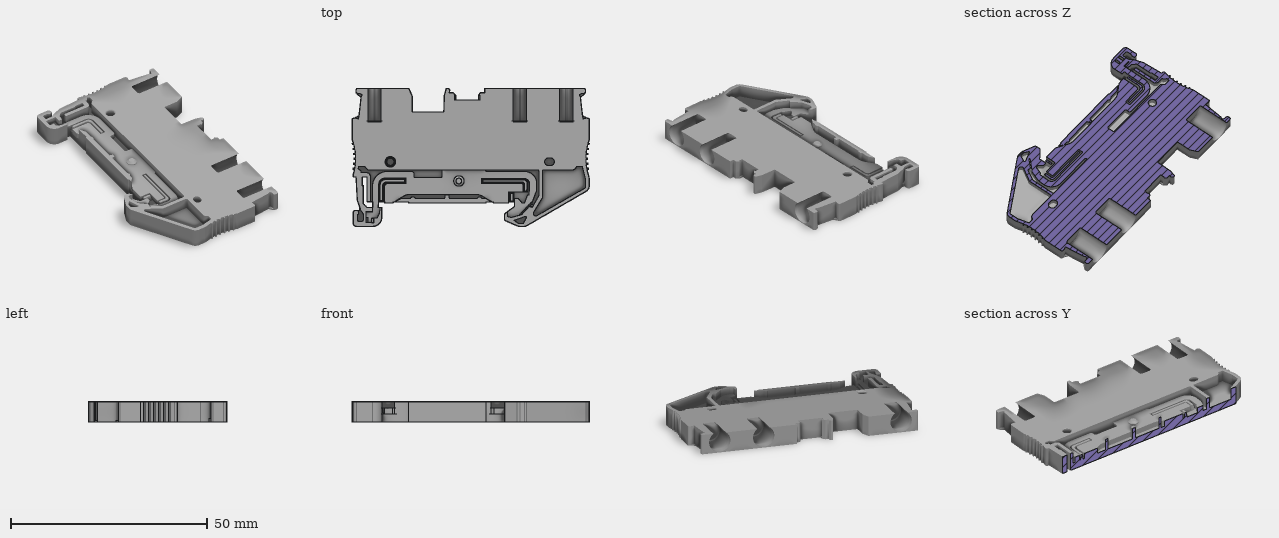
import cadquery as cq
import math

LENGTH = 60.4
HEIGHT = 35.2
THICKNESS = 5.2

FLOOR_Z = 2.05
PLATE_Z = 3.55
SLOT_WEB_Z = 0.95
CORNER_WEB_Z = 0.35

POCKET_TOP_Y = 14.45
UNDERSIDE_Y = 6.2
WALL_UNDERSIDE_Y = 6.0


def outline(points):
    """Closed sketch through (x, y) corners; a third value rounds that corner with an arc."""
    corners = [(p[0], p[1], p[2] if len(p) > 2 else 0) for p in points]
    count = len(corners)
    stretches = []
    for i, (x, y, radius) in enumerate(corners):
        if radius == 0:
            stretches.append([(x, y)])
            continue
        before = corners[i - 1]
        after = corners[(i + 1) % count]
        in_angle = math.atan2(before[1] - y, before[0] - x)
        out_angle = math.atan2(after[1] - y, after[0] - x)
        half = abs(math.remainder(out_angle - in_angle, 2 * math.pi)) / 2
        middle_angle = in_angle + math.remainder(out_angle - in_angle, 2 * math.pi) / 2
        tangent = radius / math.tan(half)
        middle = radius / math.sin(half) - radius
        stretches.append([
            (x + tangent * math.cos(in_angle), y + tangent * math.sin(in_angle)),
            (x + middle * math.cos(middle_angle), y + middle * math.sin(middle_angle)),
            (x + tangent * math.cos(out_angle), y + tangent * math.sin(out_angle)),
        ])
    sketch = cq.Workplane("XY").moveTo(*stretches[0][-1])
    for stretch in stretches[1:] + stretches[:1]:
        sketch = sketch.lineTo(*stretch[0])
        if len(stretch) > 1:
            sketch = sketch.threePointArc(stretch[1], stretch[2])
    return sketch.close()


def prism(points, bottom, top):
    """Straight prism over an outline, from level bottom to level top."""
    return outline(points).extrude(top - bottom).translate((0, 0, bottom))


def mirrored(points):
    """The same points on the opposite end of the block, in reverse order."""
    return [(LENGTH - p[0], *p[1:]) for p in reversed(points)]


SHOULDER_Y = 27.5
GRIP_TOP_Y = 22.05
GRIP_BOTTOM_Y = 13.3
GRIP_FOOT_INSET = 0.25

END_NOTCH = [
    (0.95, HEIGHT, 0.5), (0.95, 33.9, 0.4), (1.95, 33.9), (2.5, 33.65), (2.5, 33.35), (2.25, 32.9),
    (1.7, 28.0), (1.65, 27.4), (0.65, 27.65), (0, SHOULDER_Y, 0.35),
]
LABEL_BAY = [(14.45, HEIGHT), (15.35, 33.15), (15.35, 29.2), (23.3, 29.2), (23.45, 33.4)]
MARKER_FLOOR_Y = 32.25
MARKER_WEB_TOP_Y = 33.35
MARKER_BAY = [
    (24.0, HEIGHT), (24.6, HEIGHT), (24.9, 34.7), (24.75, 34.1), (25.75, 34.1), (26.4, MARKER_WEB_TOP_Y),
    (26.05, MARKER_WEB_TOP_Y), (26.05, MARKER_FLOOR_Y), (32.5, MARKER_FLOOR_Y), (32.5, MARKER_WEB_TOP_Y),
    (32.15, MARKER_WEB_TOP_Y), (32.7, 34.1), (33.7, 34.1), (33.7, HEIGHT),
]
SNAP_FOOT = [
    (0.25, 12.55, 0.3), (0.95, 12.55), (1.25, 6.75), (2.1, 4.3), (2.85, 3.15), (2.85, 1.3, 0.35),
    (1.3, 1.3, 0.35), (1.3, 2.9), (1.65, 3.3), (1.5, 4.1), (0.25, 4.1, 0.6), (0.25, 0, 0.9),
    (7.25, 0, 2.35), (7.55, 2.1), (7.55, 4.9), (6.65, 4.9), (6.75, UNDERSIDE_Y),
]
MIDDLE_UNDERSIDE = [
    (14.4, UNDERSIDE_Y), (14.4, WALL_UNDERSIDE_Y), (34.1, WALL_UNDERSIDE_Y), (34.1, UNDERSIDE_Y),
]
HOOK_FOOT = [
    (41.3, UNDERSIDE_Y), (41.3, 5.1), (39.5, 3.8), (38.8, 3.15), (38.8, 1.6, 0.5),
    (42.4, 0, 1.95), (44.15, 0, 1.2), (LENGTH, 9.4, 1.8), (LENGTH, 12.25),
]


def housing():
    left_side = END_NOTCH + [(0, GRIP_TOP_Y), (GRIP_FOOT_INSET, GRIP_BOTTOM_Y)]
    right_side = mirrored(left_side)
    underside = SNAP_FOOT + MIDDLE_UNDERSIDE + HOOK_FOOT
    top_side = MARKER_BAY[::-1] + LABEL_BAY[::-1]
    return prism(left_side + underside + right_side + top_side, 0, THICKNESS)


GRIP_DEPTH = 0.85
TOOTH_COUNT = 6
TOOTH_PITCH = 1.25
TOOTH_WIDTH = 0.35
TOOTH_HEIGHT = 0.4
FIRST_TOOTH_Y = 14.7
GRIP_MIDDLE_Y = 17.2
GRIP_CLEARANCE = 1.45


def grip_space(depth):
    """Space in front of a curved surface that lies this deep at the middle of the left grip."""
    top_x = depth - GRIP_DEPTH
    return (
        cq.Workplane("XY").moveTo(top_x, GRIP_TOP_Y)
        .threePointArc((depth, GRIP_MIDDLE_Y), (top_x + GRIP_FOOT_INSET, GRIP_BOTTOM_Y))
        .lineTo(-GRIP_CLEARANCE, GRIP_BOTTOM_Y).lineTo(-GRIP_CLEARANCE, GRIP_TOP_Y)
        .close().extrude(THICKNESS)
    )


def grip_cutter():
    """Hollow of the left grip, leaving the teeth."""
    hollow = grip_space(GRIP_DEPTH)
    space_outside_teeth = grip_space(GRIP_DEPTH - TOOTH_HEIGHT)
    for i in range(TOOTH_COUNT):
        tooth = cq.Workplane("XY").box(
            2 * GRIP_CLEARANCE, TOOTH_WIDTH, THICKNESS, centered=(True, True, False)
        ).translate((0, FIRST_TOOTH_Y + i * TOOTH_PITCH, 0))
        hollow = hollow.cut(tooth.cut(space_outside_teeth))
    return hollow


SLOT_WEB = [
    (1.3, 4.1), (1.9, 4.1), (1.9, 4.6), (2.2, 4.6), (2.95, 3.15), (2.95, 1.2), (1.2, 1.2), (1.2, 2.9),
]
UPPER_CORNER_WEB = [(1.25, 33.7), (1.25, 34.0), (2.6, 34.0), (2.6, 32.9), (2.25, 32.9)]
LOWER_CORNER_WEB = [(0.55, 27.55), (1.7, 28.25), (1.8, 28.0), (1.8, 27.3)]
MARKER_WEB_X = (26.05, 32.15)
MARKER_WEB_WIDTH = 0.35


def webs():
    body = prism(SLOT_WEB, 0, SLOT_WEB_Z)
    for web in (UPPER_CORNER_WEB, LOWER_CORNER_WEB):
        body = body.union(prism(web, 0, CORNER_WEB_Z))
        body = body.union(prism(mirrored(web), 0, CORNER_WEB_Z))
    for x in MARKER_WEB_X:
        strip = cq.Workplane("XY").box(
            MARKER_WEB_WIDTH, MARKER_WEB_TOP_Y - MARKER_FLOOR_Y, CORNER_WEB_Z, centered=False)
        body = body.union(strip.translate((x, MARKER_FLOOR_Y, 0)))
    return body


RIM_CURVE = [(7.2, 4.9), (6.9, 3.25), (6.35, 2.2)]
HOOK_SEAT = [(45.85, 4.85), (45.1, 5.15), (43.1, 3.0), (40.45, 2.3), (39.55, 2.55), (39.5, 3.8)]
MAIN_POCKET = [
    (4.65, 4.85), (4.65, 13.7, 0.95), (2.3, 13.7), (2.25, 14.2), (1.5, 14.75), (1.7, 15.35),
    (3.15, 15.35), (4.0, POCKET_TOP_Y), (47.55, POCKET_TOP_Y, 0.35), (47.55, 7.85),
] + HOOK_SEAT + [
    (36.25, 4.2), (7.85, 4.2), (7.85, 4.9),
] + RIM_CURVE + [
    (5.45, 2.1), (5.45, 0.95), (3.5, 0.95), (3.5, 3.8), (5.15, 3.8), (5.15, 4.85),
]
SIDE_POCKET = [
    (48.45, POCKET_TOP_Y, 0.3), (56.7, POCKET_TOP_Y, 0.95), (57.2, 15.35), (58.6, 15.35), (59.4, 12.25),
    (59.4, 9.85, 0.25), (45.05, 1.65, 0.6), (48.45, 7.3),
]
HOOK_POCKET = [(41.25, 1.6), (44.65, 2.8, 0.25), (43.55, 0.7), (42.4, 0.7)]
SPRING_SLOT = [
    (2.6, 12.55), (3.75, 12.55), (3.75, 6.3, 0.25), (5.2, 6.3), (5.2, 4.9), (3.75, 4.9),
    (2.85, 5.85), (2.85, 10.4), (2.6, 10.4),
]
SNAP_FOOT_OPENING = [(5.0, 0.95), (5.45, 0.95), (5.45, 2.05), (5.0, 2.05)]
HOOK_OPENING = [(45.5, 5.3), (45.8, 5.75), (46.1, 5.3), (45.85, 4.85)]
RAIL_WALL = [
    (10.8, UNDERSIDE_Y), (12.5, 7.2), (14.8, 7.2), (15.15, 7.5), (15.75, 7.5), (16.1, 7.2),
    (23.55, 7.2), (23.75, 8.1), (24.6, 8.1), (24.75, 7.2), (31.85, 7.2), (32.2, 7.5),
    (32.7, 7.5), (33.05, 7.2), (34.05, 7.2), (35.35, UNDERSIDE_Y),
    (34.1, UNDERSIDE_Y), (34.1, WALL_UNDERSIDE_Y), (14.4, WALL_UNDERSIDE_Y), (14.4, UNDERSIDE_Y),
]


def pockets():
    cutter = prism(MAIN_POCKET, FLOOR_Z, THICKNESS).cut(prism(RAIL_WALL, FLOOR_Z, THICKNESS))
    for pocket in (SIDE_POCKET, HOOK_POCKET):
        cutter = cutter.union(prism(pocket, FLOOR_Z, THICKNESS))
    return cutter.union(prism(SPRING_SLOT, 0, THICKNESS))


PLATE_TOP_Y = 14.0
PLATE = [
    (5.2, 3.7), (5.2, PLATE_TOP_Y, 3.6), (15.35, PLATE_TOP_Y), (15.7, 13.65), (15.7, 12.45, 0.35),
    (22.9, 12.45, 0.35), (22.9, POCKET_TOP_Y), (33.8, POCKET_TOP_Y), (34.1, PLATE_TOP_Y),
    (47.1, PLATE_TOP_Y, 3.0), (46.95, 9.05), (45.65, 5.7),
] + HOOK_SEAT[1:] + [
    (41.3, 5.1), (41.3, 7.1), (42.35, 7.1), (43.25, 6.05), (43.9, 6.05), (44.95, 8.8),
    (39.85, 8.8), (39.85, WALL_UNDERSIDE_Y), (36.1, WALL_UNDERSIDE_Y), (32.3, 8.2, 3.6),
    (13.9, 8.2, 3.6), (10.25, WALL_UNDERSIDE_Y), (8.2, WALL_UNDERSIDE_Y),
    (8.2, UNDERSIDE_Y), (6.75, UNDERSIDE_Y), (6.65, 4.9),
] + RIM_CURVE + [
    (5.0, 2.1), (5.0, 0.95), (4.05, 0.95), (4.05, 2.3), (3.5, 2.3), (3.5, 3.7),
]
LEFT_GROOVE = [
    (6.75, 5.45), (6.75, 12.3, 1.6), (13.7, 12.3), (13.7, 11.0), (8.3, 11.0, 0.85), (8.3, 5.45),
]
LEFT_RIB = [
    (6.9, 6.35), (6.9, 12.2, 1.45), (13.6, 12.2), (13.6, 11.1), (8.0, 11.1, 0.9), (8.0, 6.35),
]
RIGHT_GROOVE = [
    (32.9, 12.2), (45.25, 12.2, 1.3), (45.05, 8.1), (43.5, 8.1), (43.5, 10.95, 0.3), (32.9, 10.95),
]
RIGHT_RIB = [
    (33.05, 12.1), (44.9, 12.1, 0.95), (44.7, 8.75), (43.6, 8.75), (43.6, 11.05, 0.3), (33.05, 11.05),
]
END_RIB = [(40.1, 6.3), (41.2, 6.3), (41.2, 8.65), (40.1, 8.65)]
HOOK_BEVEL = 0.35
HOOK_BEVEL_BOX = ((43.8, 3.75, PLATE_Z - 0.05), (44.45, 4.4, PLATE_Z + 0.05))
RIB_DRAFT = 10.0


def foot_plate():
    plate = prism(PLATE, FLOOR_Z, PLATE_Z)
    for groove in (LEFT_GROOVE, RIGHT_GROOVE):
        plate = plate.cut(prism(groove, FLOOR_Z, PLATE_Z))
    for rib in (LEFT_RIB, RIGHT_RIB, END_RIB):
        drafted = outline(rib).extrude(PLATE_Z - FLOOR_Z, taper=RIB_DRAFT)
        plate = plate.union(drafted.translate((0, 0, FLOOR_Z)))
    return plate.edges(cq.selectors.BoxSelector(*HOOK_BEVEL_BOX)).chamfer(HOOK_BEVEL)


PIN_CENTER = (27.2, 11.6)
PIN_BASE_RADIUS = 1.3
PIN_TOP_RADIUS = 0.7
PIN_BASE_HEIGHT = 0.2
PIN_CONE_HEIGHT = 0.5


def locating_pin():
    foot = cq.Workplane("XY").circle(PIN_BASE_RADIUS).extrude(PIN_BASE_HEIGHT)
    cone = (
        cq.Workplane("XY").workplane(offset=PIN_BASE_HEIGHT).circle(PIN_BASE_RADIUS)
        .workplane(offset=PIN_CONE_HEIGHT).circle(PIN_TOP_RADIUS).loft()
    )
    return foot.union(cone).translate((*PIN_CENTER, PLATE_Z))


HOLE_CENTER = (9.7, 16.5)
HOLE_RADIUS = 0.9
HOLE_MOUTH_RADIUS = 1.15
COUNTERSINK_RADIUS = 1.3
COUNTERSINK_DEPTH = 0.2
SLOT_HOLE_LENGTH = 2.5
SLOT_HOLE_WIDTH = 1.95
SLOT_HOLE_CENTER = (50.25, 16.5)


def locating_holes():
    depth = THICKNESS - FLOOR_Z
    drafted = cq.Workplane("XY").circle(HOLE_RADIUS).workplane(offset=depth).circle(
        HOLE_MOUTH_RADIUS).loft()
    countersink = cq.Workplane("XY").workplane(offset=depth - COUNTERSINK_DEPTH).circle(
        HOLE_MOUTH_RADIUS).workplane(offset=COUNTERSINK_DEPTH).circle(COUNTERSINK_RADIUS).loft()
    slot = cq.Workplane("XY").slot2D(SLOT_HOLE_LENGTH, SLOT_HOLE_WIDTH).extrude(depth)
    return (
        drafted.union(countersink).translate((*HOLE_CENTER, FLOOR_Z))
        .union(slot.translate((*SLOT_HOLE_CENTER, FLOOR_Z)))
    )


CHANNEL_X = (5.7, 42.7, 54.55)
CHANNEL_RADIUS = 2.7
CHANNEL_FLAT = 0.3
CHANNEL_AXIS_DEPTH = 2.25
CHANNEL_BOTTOM_Y = 26.6
CHANNEL_END_CHAMFER = 0.25


def channel(x):
    section = cq.Workplane("XZ").slot2D(2 * CHANNEL_RADIUS + CHANNEL_FLAT, 2 * CHANNEL_RADIUS)
    cutter = section.extrude(CHANNEL_BOTTOM_Y - HEIGHT).faces("<Y").chamfer(CHANNEL_END_CHAMFER)
    return cutter.translate((x, CHANNEL_BOTTOM_Y, THICKNESS - CHANNEL_AXIS_DEPTH))


left_grip = grip_cutter()
right_grip = left_grip.mirror("YZ").translate((LENGTH, 0, 0))
block = housing().cut(left_grip).cut(right_grip).union(webs()).cut(pockets())
block = block.union(foot_plate()).union(locating_pin())
for opening in (SNAP_FOOT_OPENING, HOOK_OPENING):
    block = block.cut(prism(opening, 0, THICKNESS))
block = block.cut(locating_holes())
for channel_x in CHANNEL_X:
    block = block.cut(channel(channel_x))

result = block